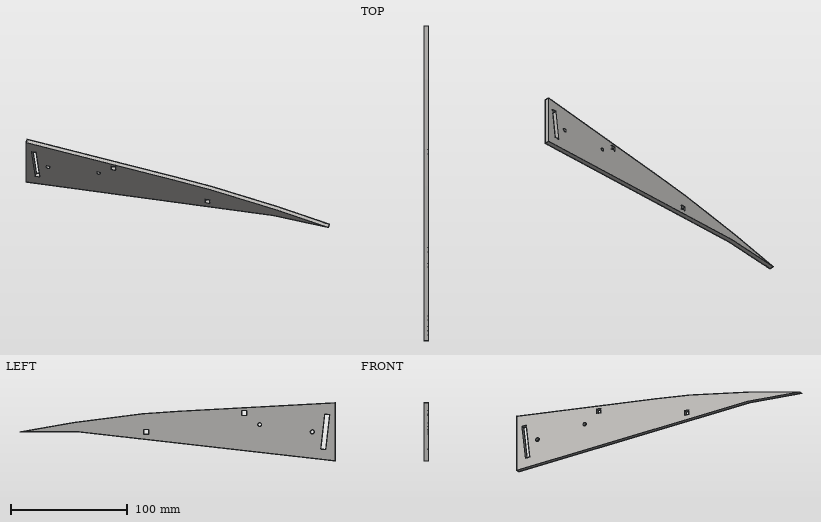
import cadquery as cq
import math

length = 270.0
butt_height = 50.0
thickness = 4.0

tip_y = length / 2
butt_y = -length / 2
butt_top_z = butt_height / 2
butt_bottom_z = -butt_height / 2

heel_y = 85.5

upper_corners = [(-2.5, 17.8), (25.0, 16.0), (29.5, 15.7), (88.8, 8.0)]

window_size = thickness
window_centers = [(27.0, 0.0), (-57.0, 16.2)]

round_holes = [(-70.2, 6.2, 3.0), (-115.3, 0.0, 3.2)]

slot_length = 30.0
slot_width = thickness
slot_y = -126.4
slot_tilt = math.degrees(math.atan2(-butt_bottom_z, heel_y - butt_y))


def mid_plane():
    """Workplane with local x along +Y and local y along +Z, at mid thickness."""
    return cq.Workplane("YZ")


def through(sketch):
    """Extrude a sketch well past both faces of the blade."""
    return sketch.extrude(thickness, both=True)


def blade():
    outline = [(tip_y, 0), (heel_y, 0), (butt_y, butt_bottom_z), (butt_y, butt_top_z)]
    profile = mid_plane().workplane(offset=-thickness / 2).polyline(outline + upper_corners).close()
    return profile.extrude(thickness)


def windows():
    return through(mid_plane().pushPoints(window_centers).rect(window_size, window_size))


def round_hole(y, z, diameter):
    return through(mid_plane().center(y, z).circle(diameter / 2))


def slot():
    sketch = mid_plane().center(slot_y, 0).transformed(rotate=(0, 0, slot_tilt))
    return through(sketch.rect(slot_width, slot_length))


result = blade().cut(windows()).cut(slot())
for hole_y, hole_z, hole_diameter in round_holes:
    result = result.cut(round_hole(hole_y, hole_z, hole_diameter))